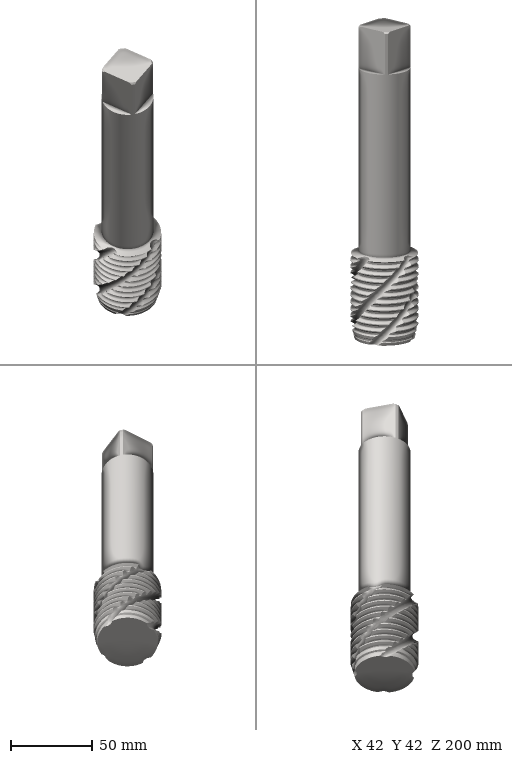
import cadquery as cq
import math

cut_clearance = 1.0

total_length = 200.0
head_length = 55.7
square_length = 27.0

shank_radius = 16.0
square_width = 24.0
drive_chamfer = 1.0

thread_radius = 21.0
pitch = 4.5
flank_angle = math.radians(30)
thread_depth = 5 / 8 * pitch * math.cos(flank_angle)
root_radius = thread_radius - thread_depth
root_flat = pitch / 4
first_crest_height = pitch / 8
groove_count = 12

lead_length = 9.6
shoulder_drop = 1.7
shoulder_start = head_length - shoulder_drop

flute_count = 4
flute_radius = 4.9
flute_center_radius = 22.0
flute_lead = 120.0


def make_head_blank():
    outline = [
        (0, 0),
        (root_radius, 0),
        (thread_radius, lead_length),
        (thread_radius, shoulder_start),
        (shank_radius, head_length),
        (0, head_length),
    ]
    return cq.Workplane("XZ").polyline(outline).close().revolve(360, (0, 0), (0, 1))


def make_thread_groove(center_height):
    """Ring with a flat root and two sloping flanks, open past the thread crest."""
    outer_radius = thread_radius + cut_clearance
    root_half = root_flat / 2
    mouth_half = root_half + (outer_radius - root_radius) * math.tan(flank_angle)
    outline = [
        (root_radius, center_height - root_half),
        (outer_radius, center_height - mouth_half),
        (outer_radius, center_height + mouth_half),
        (root_radius, center_height + root_half),
    ]
    return cq.Workplane("XZ").polyline(outline).close().revolve(360, (0, 0), (0, 1))


def make_flute(angle):
    """Round channel winding up about Z to the shoulder crest, then running straight out of the top."""
    twisted_length = shoulder_start + cut_clearance
    twist = 360 * twisted_length / flute_lead
    twisted = (
        cq.Workplane("XY")
        .workplane(offset=-cut_clearance)
        .moveTo(flute_center_radius, 0)
        .circle(flute_radius)
        .twistExtrude(twisted_length, twist)
        .rotate((0, 0, 0), (0, 0, 1), -twist)
    )
    straight = (
        cq.Workplane("XY")
        .workplane(offset=shoulder_start)
        .moveTo(flute_center_radius, 0)
        .circle(flute_radius)
        .extrude(shoulder_drop + cut_clearance)
    )
    return twisted.union(straight).rotate((0, 0, 0), (0, 0, 1), angle)


def make_cutting_head():
    head = make_head_blank()
    for index in range(groove_count):
        groove_height = first_crest_height + (index + 0.5) * pitch
        head = head.cut(make_thread_groove(groove_height))
    for index in range(flute_count):
        head = head.cut(make_flute(index * 360 / flute_count))
    return head.solids()


def make_shank():
    shank = (
        cq.Workplane("XY")
        .workplane(offset=head_length)
        .circle(shank_radius)
        .extrude(total_length - head_length)
        .faces(">Z")
        .chamfer(drive_chamfer)
    )
    waste = (
        cq.Workplane("XY")
        .workplane(offset=total_length - square_length)
        .circle(shank_radius + cut_clearance)
        .rect(square_width, square_width)
        .extrude(square_length)
    )
    return shank.cut(waste).solids()


cutting_head = make_cutting_head()
shank = make_shank()

result = cq.Compound.makeCompound([cutting_head.val(), shank.val()])